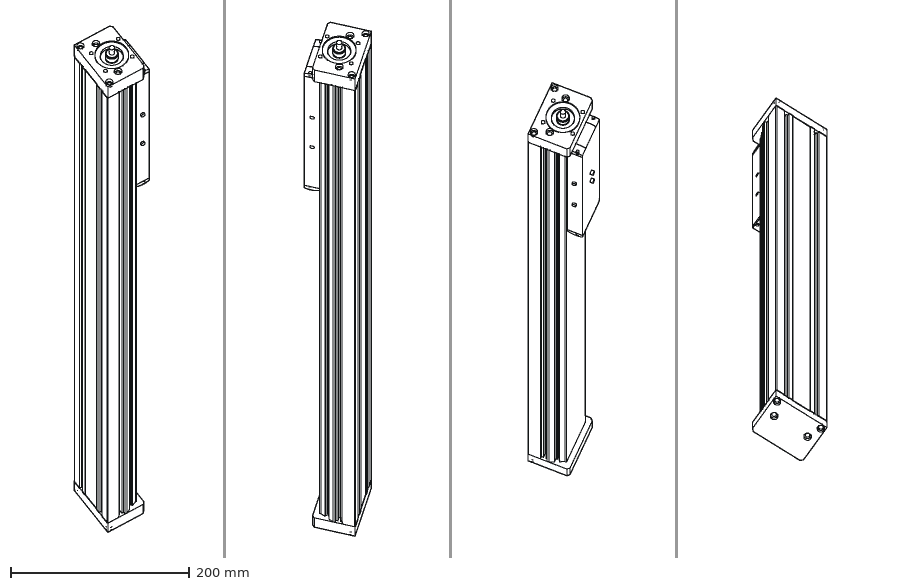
import cadquery as cq
import math


LOWER_CAP_HEIGHT = 18.0
UPPER_CAP_HEIGHT = 22.0
RAIL_LENGTH = 828.0
RAIL_TOP = LOWER_CAP_HEIGHT + RAIL_LENGTH
UPPER_CAP_TOP = RAIL_TOP + UPPER_CAP_HEIGHT
OVERALL_HEIGHT = 882.0

WIDTH = 69.0
HALF_WIDTH = WIDTH / 2
RAIL_DEPTH = 44.2
FRONT_CORNER_CHAMFER = 1.05
TAPER_START = 26.0
TAPER_END = 42.5
TAPER_ANGLE = 25.0
TAPER_INSET = (TAPER_END - TAPER_START) * math.tan(math.radians(TAPER_ANGLE))
FRONT_RECESS_WIDTH = 24.0
FRONT_RECESS_DEPTH = 1.0
FRONT_SLOT_X = 20.0
SIDE_SLOT_Y = 19.6
TAPER_SLOT_Y = 34.2
FRONT_SLOT = (6.2, 3.0, 2.0, 6.0)
SIDE_SLOT = (8.0, 3.0, 3.2, 8.0)
TAPER_SLOT = (5.2, 3.0, 2.0, 6.0)
TAPER_SLOT_START = HALF_WIDTH - (TAPER_SLOT_Y - TAPER_START) * math.tan(math.radians(TAPER_ANGLE))
SLOT_OVERRUN = 3.0

CAP_FRONT = 0.5
CAP_BACK = 50.7
CAP_CHAMFER = 2.8

AXIS_Y = 28.4
PILOT_DIAMETER = 38.0
PILOT_DEPTH = 2.0
BEARING_DIAMETER = 26.0
BEARING_DEPTH = 6.0
FLANGE_SCREW_DIAMETER = 4.13
FLANGE_SCREW_X = 14.5
FLANGE_SCREW_DY = 18.0
FLANGE_SCREW_DEPTH = 12.0
RAIL_SCREW_PLACES = [(22.6, 22.0), (29.5, 5.7)]
RAIL_SCREW_SIZES = [(8.57, 5.0), (8.0, 5.0)]
RAIL_SCREW_HEAD_DEPTH = 5.0

JOURNAL_DIAMETER = 13.0
JOURNAL_SOCKET_DEPTH = 14.0
JOURNAL_TOP = UPPER_CAP_TOP + 4.0
COLLAR_DIAMETER = 14.7
COLLAR_BOTTOM = UPPER_CAP_TOP - BEARING_DEPTH
COLLAR_TOP = UPPER_CAP_TOP + 2.0
SHAFT_DIAMETER = 6.0

CARRIAGE_WIDTH = 49.2
CARRIAGE_BACK = 62.6
CARRIAGE_CENTRE_Z = 734.5
CARRIAGE_LENGTH = 221.0
END_COVER_LENGTH = 7.0
END_COVER_INSET = 0.1
END_RADIUS = 19.0
END_CREST_Y = 54.5
END_STRIP_WIDTH = 29.0
END_STRIP_STEP = 0.5
COVER_SCREW_DIAMETER = 3.24
COVER_SCREW_X = 22.5
COVER_SCREW_Y = 56.0
COVER_SCREW_DEPTH = 5.0
SIDE_PORT_DIAMETER = 5.0
SIDE_PORT_Y = 53.2
SIDE_PORT_PITCH = 56.0
SIDE_PORT_DEPTH = 5.0
SIDE_PIN_DIAMETER = 5.0
SIDE_PIN_HEIGHT = 2.0
BACK_PIN_DIAMETER = 5.0
BACK_PIN_TOP = 65.9
BACK_PIN_CENTRE_Z = 740.0
BACK_PIN_PITCH = 21.0


def cylinder(x, y, bottom, top, diameter):
    return cq.Workplane("XY", origin=(x, y, bottom)).circle(diameter / 2).extrude(top - bottom)


def stepped_slot(sizes):
    """Slot running along the rail, opening at x = 0 and cutting towards -X."""
    mouth, mouth_depth, throat, depth = sizes
    outer = cq.Workplane("XY").box(
        mouth_depth + SLOT_OVERRUN, mouth, RAIL_LENGTH, centered=(False, True, False)
    ).translate((-mouth_depth, 0, LOWER_CAP_HEIGHT))
    inner = cq.Workplane("XY").box(
        depth, throat, RAIL_LENGTH, centered=(False, True, False)
    ).translate((-depth, 0, LOWER_CAP_HEIGHT))
    return outer.union(inner)


def mirrored_in_x(shape):
    return shape.union(shape.mirror("YZ"))


def make_rail():
    top_half = HALF_WIDTH - TAPER_INSET
    right_outline = [
        (HALF_WIDTH - FRONT_CORNER_CHAMFER, 0),
        (HALF_WIDTH, FRONT_CORNER_CHAMFER),
        (HALF_WIDTH, TAPER_START),
        (top_half, TAPER_END),
        (top_half, RAIL_DEPTH),
    ]
    left_outline = [(-x, y) for x, y in reversed(right_outline)]
    rail = (
        cq.Workplane("XY", origin=(0, 0, LOWER_CAP_HEIGHT))
        .polyline(right_outline + left_outline)
        .close()
        .extrude(RAIL_LENGTH)
    )
    recess = cq.Workplane("XY").box(
        FRONT_RECESS_WIDTH, FRONT_RECESS_DEPTH, RAIL_LENGTH, centered=(True, False, False)
    ).translate((0, 0, LOWER_CAP_HEIGHT))
    rail = rail.cut(recess)

    front_slot = stepped_slot(FRONT_SLOT).rotate((0, 0, 0), (0, 0, 1), -90).translate((FRONT_SLOT_X, 0, 0))
    side_slot = stepped_slot(SIDE_SLOT).translate((HALF_WIDTH, SIDE_SLOT_Y, 0))
    taper_slot = stepped_slot(TAPER_SLOT).translate((TAPER_SLOT_START, TAPER_SLOT_Y, 0))
    for slot in (front_slot, side_slot, taper_slot):
        rail = rail.cut(mirrored_in_x(slot))
    return rail


def cap_block(bottom, height):
    return (
        cq.Workplane("XY", origin=(0, CAP_FRONT, bottom))
        .box(WIDTH, CAP_BACK - CAP_FRONT, height, centered=(True, False, False))
        .edges("|Z and >Y")
        .chamfer(CAP_CHAMFER)
    )


def cut_rail_screws(cap, bottom, top, head_bottom, head_top):
    """Counterbored holes for the screws that hold a cap on the end of the rail."""
    for side in (-1, 1):
        for (x, y), (head, hole) in zip(RAIL_SCREW_PLACES, RAIL_SCREW_SIZES):
            cap = cap.cut(cylinder(side * x, y, bottom, top, hole))
            cap = cap.cut(cylinder(side * x, y, head_bottom, head_top, head))
    return cap


def make_upper_cap():
    cap = cap_block(RAIL_TOP, UPPER_CAP_HEIGHT)
    head_bottom = UPPER_CAP_TOP - RAIL_SCREW_HEAD_DEPTH
    cap = cut_rail_screws(cap, RAIL_TOP, UPPER_CAP_TOP, head_bottom, UPPER_CAP_TOP)
    for diameter, depth in (
        (PILOT_DIAMETER, PILOT_DEPTH),
        (BEARING_DIAMETER, BEARING_DEPTH),
        (JOURNAL_DIAMETER, JOURNAL_SOCKET_DEPTH),
    ):
        cap = cap.cut(cylinder(0, AXIS_Y, UPPER_CAP_TOP - depth, UPPER_CAP_TOP, diameter))

    for side in (-1, 1):
        for dy in (-FLANGE_SCREW_DY, FLANGE_SCREW_DY):
            cap = cap.cut(
                cylinder(
                    side * FLANGE_SCREW_X,
                    AXIS_Y + dy,
                    UPPER_CAP_TOP - FLANGE_SCREW_DEPTH,
                    UPPER_CAP_TOP,
                    FLANGE_SCREW_DIAMETER,
                )
            )
    return cap


def make_lower_cap():
    cap = cap_block(0, LOWER_CAP_HEIGHT)
    return cut_rail_screws(cap, 0, LOWER_CAP_HEIGHT, 0, RAIL_SCREW_HEAD_DEPTH)


def make_shaft():
    journal = cylinder(0, AXIS_Y, UPPER_CAP_TOP - JOURNAL_SOCKET_DEPTH, JOURNAL_TOP, JOURNAL_DIAMETER)
    collar = cylinder(0, AXIS_Y, COLLAR_BOTTOM, COLLAR_TOP, COLLAR_DIAMETER)
    return journal.union(collar).union(cylinder(0, AXIS_Y, JOURNAL_TOP, OVERALL_HEIGHT, SHAFT_DIAMETER))


def rounded_slab(width, half_length):
    """Slab centred on z = 0 whose two ends bulge outward in an arc across Y."""
    def end_z(y):
        return half_length - END_RADIUS + math.sqrt(END_RADIUS**2 - (y - END_CREST_Y) ** 2)

    front_z = end_z(RAIL_DEPTH)
    back_z = end_z(CARRIAGE_BACK)
    return (
        cq.Workplane("YZ")
        .moveTo(RAIL_DEPTH, -front_z)
        .threePointArc((END_CREST_Y, -half_length), (CARRIAGE_BACK, -back_z))
        .lineTo(CARRIAGE_BACK, back_z)
        .threePointArc((END_CREST_Y, half_length), (RAIL_DEPTH, front_z))
        .close()
        .extrude(width / 2, both=True)
    )


def make_carriage():
    """Block with narrower rounded end covers, a raised strip on each end, ports and pins."""
    half_length = CARRIAGE_LENGTH / 2
    carriage = cq.Workplane("XY").box(
        CARRIAGE_WIDTH,
        CARRIAGE_BACK - RAIL_DEPTH,
        CARRIAGE_LENGTH - 2 * END_COVER_LENGTH,
        centered=(True, False, True),
    ).translate((0, RAIL_DEPTH, 0))
    cover_width = CARRIAGE_WIDTH - 2 * END_COVER_INSET
    carriage = carriage.union(rounded_slab(cover_width, half_length - END_STRIP_STEP))
    carriage = carriage.union(rounded_slab(END_STRIP_WIDTH, half_length))

    for side in (-1, 1):
        screw_x = side * COVER_SCREW_X
        screw_floor = half_length - COVER_SCREW_DEPTH
        screw = cylinder(screw_x, COVER_SCREW_Y, screw_floor, half_length, COVER_SCREW_DIAMETER)
        carriage = carriage.cut(screw).cut(screw.mirror("XY"))
        port = (
            cq.Workplane("YZ", origin=(-CARRIAGE_WIDTH / 2, SIDE_PORT_Y, side * SIDE_PORT_PITCH / 2))
            .circle(SIDE_PORT_DIAMETER / 2)
            .extrude(SIDE_PORT_DEPTH)
        )
        side_pin = (
            cq.Workplane("YZ", origin=(CARRIAGE_WIDTH / 2, SIDE_PORT_Y, side * SIDE_PORT_PITCH / 2))
            .circle(SIDE_PIN_DIAMETER / 2)
            .extrude(SIDE_PIN_HEIGHT)
        )
        pin_z = BACK_PIN_CENTRE_Z - CARRIAGE_CENTRE_Z + side * BACK_PIN_PITCH / 2
        back_pin = (
            cq.Workplane("XZ", origin=(0, BACK_PIN_TOP, pin_z))
            .circle(BACK_PIN_DIAMETER / 2)
            .extrude(BACK_PIN_TOP - CARRIAGE_BACK)
        )
        carriage = carriage.cut(port).union(side_pin).union(back_pin)
    return carriage.translate((0, 0, CARRIAGE_CENTRE_Z))


rail = make_rail()
upper_cap = make_upper_cap()
lower_cap = make_lower_cap()
shaft = make_shaft()
carriage = make_carriage()

result = cq.Compound.makeCompound([rail.val(), upper_cap.val(), lower_cap.val(), shaft.val(), carriage.val()])